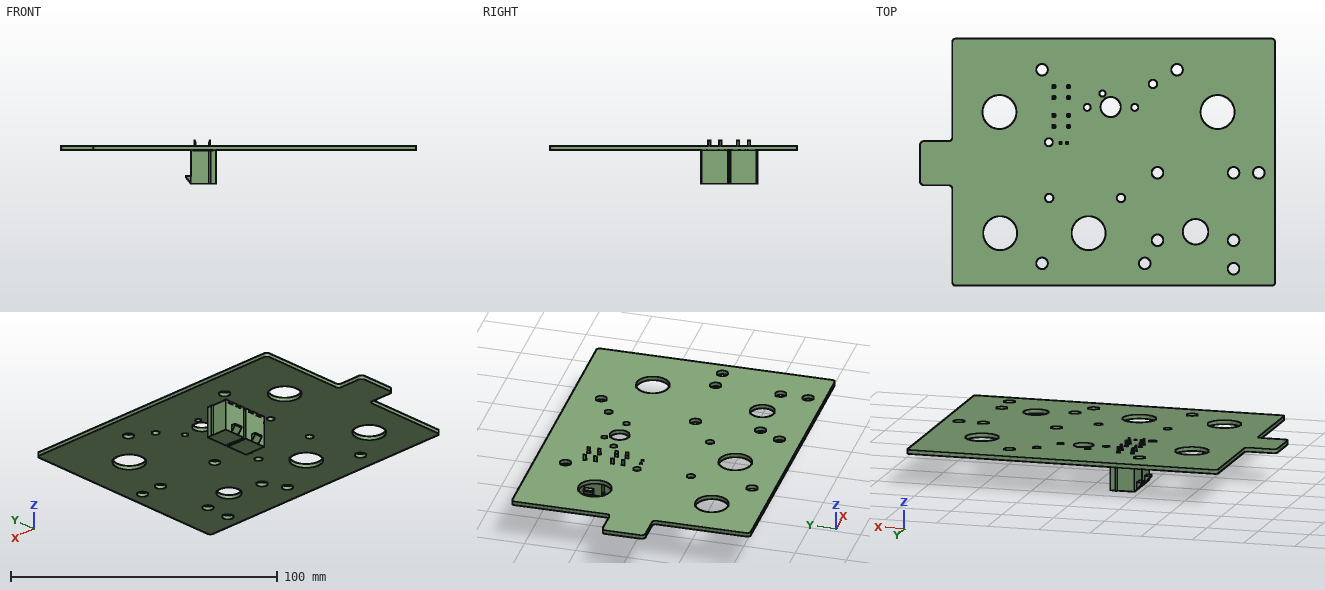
import cadquery as cq

BOARD_LENGTH = 133.5
BOARD_WIDTH = 93.0
BOARD_THICKNESS = 1.6
BOARD_CORNER_RADIUS = 1.3
TAB_LENGTH = 12.2
TAB_WIDTH = 16.7
TAB_CENTER_Y = -0.4
TAB_CORNER_RADIUS = 1.6
TAB_ROOT_RADIUS = 1.3

BOARD_HOLES = {
    12.7: [(-36.9, 18.8), (45.1, 18.8), (-36.6, -26.7), (-3.3, -26.7)],
    9.5: [(36.9, -26.2)],
    7.5: [(5.0, 20.7)],
    4.3: [
        (-20.8, 34.7), (29.9, 34.7), (-20.8, -38.0), (17.8, -38.0), (22.6, -4.0), (22.6, -29.4),
        (51.1, -4.0), (51.1, -29.4), (51.1, -40.0), (60.6, -4.0),
    ],
    3.1: [(20.8, 29.4), (-18.2, -13.5), (8.8, -13.5)],
    3.0: [(-18.3, 7.5)],
    2.5: [(-3.9, 20.5), (14.0, 20.5)],
    2.3: [(1.9, 25.8)],
    0.9: [(-13.9, 7.2), (-11.5, 7.2)],
}

CONNECTOR_X = -13.6
CONNECTOR_CENTERS_Y = (26.3, 15.5)
PIN_SPACING_X = 5.5
PIN_SPACING_Y = 4.1
PIN_HOLE_DIAMETER = 1.3

HOUSING_MIN_X = -17.9
HOUSING_LENGTH = 9.5
HOUSING_WIDTH = 9.7
HOUSING_HEIGHT = 12.7
RIB_DIAMETER = 0.9
RIB_X = -10.8

CHANNEL_MIN_X = -17.1
CHANNEL_LENGTH = 7.5
CHANNEL_DEPTH = 0.2
NOTCH_TOP_WIDTH = 1.1
NOTCH_FLOOR_WIDTH = 2.1
NOTCH_DEPTH = 0.8

LATCH_REACH = 1.9
LATCH_WIDTH = 3.5
LATCH_HEIGHT = 3.0
LATCH_TIP_HEIGHT = 0.5

PIN_THICKNESS = 0.7
PIN_WIDTH = 1.1
PIN_PROTRUSION = 2.0
PIN_TIP_THICKNESS = 0.3
PIN_TAPER_HEIGHT = 1.0


def pin_places():
    """Side (-1 or 1), X and Y of each pin, with Y measured from the connector centre."""
    return [
        (side, CONNECTOR_X + side * PIN_SPACING_X / 2, row * PIN_SPACING_Y / 2)
        for side in (-1, 1)
        for row in (-1, 1)
    ]


def make_board():
    min_x = -BOARD_LENGTH / 2
    shoulder_x = min_x + TAB_LENGTH
    main_length = BOARD_LENGTH - TAB_LENGTH
    main = (
        cq.Workplane("XY")
        .box(main_length, BOARD_WIDTH, BOARD_THICKNESS, centered=(False, True, False))
        .translate((shoulder_x, 0, 0))
        .edges("|Z")
        .fillet(BOARD_CORNER_RADIUS)
    )
    tab = (
        cq.Workplane("XY")
        .box(TAB_LENGTH, TAB_WIDTH, BOARD_THICKNESS, centered=(False, True, False))
        .translate((min_x, TAB_CENTER_Y, 0))
        .edges("|Z and <X")
        .fillet(TAB_CORNER_RADIUS)
    )
    tab_roots = cq.selectors.BoxSelector(
        (shoulder_x - TAB_ROOT_RADIUS, TAB_CENTER_Y - TAB_WIDTH, -BOARD_THICKNESS),
        (shoulder_x + TAB_ROOT_RADIUS, TAB_CENTER_Y + TAB_WIDTH, 2 * BOARD_THICKNESS),
    )
    board = main.union(tab).edges("|Z").edges(tab_roots).fillet(TAB_ROOT_RADIUS)

    for diameter, centers in BOARD_HOLES.items():
        holes = cq.Workplane("XY").pushPoints(centers).circle(diameter / 2).extrude(BOARD_THICKNESS)
        board = board.cut(holes)

    pin_centers = [(x, center_y + y) for center_y in CONNECTOR_CENTERS_Y for _, x, y in pin_places()]
    pin_holes = (
        cq.Workplane("XY").pushPoints(pin_centers).circle(PIN_HOLE_DIAMETER / 2).extrude(BOARD_THICKNESS)
    )
    return board.cut(pin_holes)


def make_housing():
    """Block with a half-round rib on each side, a top channel and flared notches."""
    housing = (
        cq.Workplane("XY")
        .box(HOUSING_LENGTH, HOUSING_WIDTH, HOUSING_HEIGHT, centered=(False, True, False))
        .translate((HOUSING_MIN_X, 0, -HOUSING_HEIGHT))
    )
    rib_centers = [(RIB_X, -HOUSING_WIDTH / 2), (RIB_X, HOUSING_WIDTH / 2)]
    ribs = cq.Workplane("XY").pushPoints(rib_centers).circle(RIB_DIAMETER / 2).extrude(-HOUSING_HEIGHT)
    channel = (
        cq.Workplane("XY")
        .box(CHANNEL_LENGTH, HOUSING_WIDTH + RIB_DIAMETER, CHANNEL_DEPTH, centered=(False, True, False))
        .translate((CHANNEL_MIN_X, 0, -CHANNEL_DEPTH))
    )
    housing = housing.union(ribs).cut(channel)
    for row in (-1, 1):
        housing = housing.cut(make_notch(row * PIN_SPACING_Y / 2))
    return housing


def make_notch(y):
    """Notch through the -X wall of the housing, wider at its floor."""
    return (
        cq.Workplane("YZ", origin=(HOUSING_MIN_X, y, 0))
        .polyline([
            (-NOTCH_TOP_WIDTH / 2, 0),
            (NOTCH_TOP_WIDTH / 2, 0),
            (NOTCH_FLOOR_WIDTH / 2, -NOTCH_DEPTH),
            (-NOTCH_FLOOR_WIDTH / 2, -NOTCH_DEPTH),
        ])
        .close()
        .extrude(CHANNEL_MIN_X - HOUSING_MIN_X)
    )


def make_latch():
    """Wedge on the -X face that tapers down to the bottom of the housing."""
    top = -HOUSING_HEIGHT + LATCH_HEIGHT
    tip_x = HOUSING_MIN_X - LATCH_REACH
    return (
        cq.Workplane("XZ")
        .polyline([
            (HOUSING_MIN_X, top),
            (tip_x, top),
            (tip_x, top - LATCH_TIP_HEIGHT),
            (HOUSING_MIN_X, -HOUSING_HEIGHT),
        ])
        .close()
        .extrude(LATCH_WIDTH / 2, both=True)
    )


def make_pin(side, x, y):
    """Flat pin, rooted at the notch floor level, whose inner face slopes outward to a thin tip."""
    top = BOARD_THICKNESS + PIN_PROTRUSION
    outer = side * PIN_THICKNESS / 2
    inner = -outer
    tip_inner = outer - side * PIN_TIP_THICKNESS
    return (
        cq.Workplane("XZ", origin=(x, y, 0))
        .polyline([
            (outer, -NOTCH_DEPTH),
            (outer, top),
            (tip_inner, top),
            (inner, top - PIN_TAPER_HEIGHT),
            (inner, -NOTCH_DEPTH),
        ])
        .close()
        .extrude(PIN_WIDTH / 2, both=True)
    )


def make_connector(center_y):
    """Housing, latch and pins of one connector, joined into one solid."""
    connector = make_housing().union(make_latch())
    for side, x, y in pin_places():
        connector = connector.union(make_pin(side, x, y))
    return connector.translate((0, center_y, 0))


board = make_board()
connectors = [make_connector(center_y) for center_y in CONNECTOR_CENTERS_Y]

result = cq.Compound.makeCompound([board.val(), *[connector.val() for connector in connectors]])